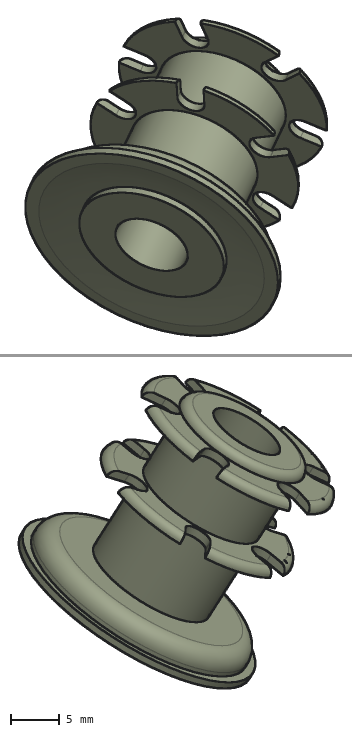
import cadquery as cq
import math

TOTAL_LENGTH = 22.82

FLANGE_RADIUS = 14.0
FLANGE_THICKNESS = 0.8
SHOULDER_RADIUS = 13.0
SHOULDER_BACK = 3.3
SHOULDER_ROUND = 2.0
TUBE_RADIUS = 7.0
BORE_RADIUS = 4.0

BOSS_RADIUS = 8.0
DISH_RADIUS = 12.5
DISH_DEPTH = 0.8
DISH_FLOOR_CURVE = 20.0

DISC_RADIUS = 11.5
DISC_THICKNESS = 1.0
COLLAR_RADIUS = 7.5
COLLAR_LENGTH = DISC_THICKNESS
COLLAR_FRONT = TOTAL_LENGTH - COLLAR_LENGTH
FRONT_DISC_FACE = 12.52
REAR_DISC_FACE = COLLAR_FRONT - DISC_THICKNESS
SLOT_COUNT = 6
SLOT_WIDTH = 3.0
SLOT_FLOOR_RADIUS = COLLAR_RADIUS
FRONT_SLOT_ANGLE = 32.4
REAR_SLOT_ANGLE = 49.9


def turn(profile):
    """Revolve a closed (radius, Y) profile fully about the Y axis."""
    return profile.revolve(360, (0, 0, 0), (0, 1, 0))


def add_round_to_back(profile, radius, back, size):
    """Continue a profile from the side at this radius through a convex quarter round to its back face."""
    mid_offset = size * math.sqrt(0.5)
    return profile.threePointArc(
        (radius - size + mid_offset, back - size + mid_offset),
        (radius - size, back),
    )


def make_dish():
    """Ring-shaped recess with a gently concave conical floor, deepest at the boss wall."""
    width = DISH_RADIUS - BOSS_RADIUS
    chord = math.hypot(width, DISH_DEPTH)
    sagitta = DISH_FLOOR_CURVE - math.sqrt(DISH_FLOOR_CURVE**2 - (chord / 2) ** 2)
    floor_middle = (
        (BOSS_RADIUS + DISH_RADIUS) / 2 + sagitta * DISH_DEPTH / chord,
        DISH_DEPTH / 2 + sagitta * width / chord,
    )
    profile = (
        cq.Workplane("XY")
        .moveTo(BOSS_RADIUS, 0)
        .lineTo(DISH_RADIUS, 0)
        .threePointArc(floor_middle, (BOSS_RADIUS, DISH_DEPTH))
        .close()
    )
    return turn(profile)


def make_core():
    """Bored tube with the dished flange at the front and the collar at the rear."""
    profile = (
        cq.Workplane("XY")
        .moveTo(BORE_RADIUS, 0)
        .lineTo(FLANGE_RADIUS, 0)
        .lineTo(FLANGE_RADIUS, FLANGE_THICKNESS)
        .lineTo(SHOULDER_RADIUS, FLANGE_THICKNESS)
        .lineTo(SHOULDER_RADIUS, SHOULDER_BACK - SHOULDER_ROUND)
    )
    profile = add_round_to_back(profile, SHOULDER_RADIUS, SHOULDER_BACK, SHOULDER_ROUND)
    profile = (
        profile.lineTo(TUBE_RADIUS, SHOULDER_BACK)
        .lineTo(TUBE_RADIUS, COLLAR_FRONT)
        .lineTo(COLLAR_RADIUS, COLLAR_FRONT)
    )
    profile = add_round_to_back(profile, COLLAR_RADIUS, TOTAL_LENGTH, COLLAR_LENGTH)
    profile = profile.lineTo(BORE_RADIUS, TOTAL_LENGTH).close()
    return turn(profile).cut(make_dish())


def make_slot(face_y, angle):
    """Cutter for one radial slot with a round inner end, open at the disc rim."""
    inner_center = SLOT_FLOOR_RADIUS + SLOT_WIDTH / 2
    slot_length = DISC_RADIUS
    round_end = cq.Workplane("XZ").center(inner_center, 0).circle(SLOT_WIDTH / 2).extrude(-DISC_THICKNESS)
    channel = (
        cq.Workplane("XZ")
        .center(inner_center + slot_length / 2, 0)
        .rect(slot_length, SLOT_WIDTH)
        .extrude(-DISC_THICKNESS)
    )
    return round_end.union(channel).rotate((0, 0, 0), (0, 1, 0), -angle).translate((0, face_y, 0))


def make_slotted_disc(face_y, first_slot_angle):
    """Disc fitted on the tube, its rim rounded through the full thickness."""
    back_y = face_y + DISC_THICKNESS
    profile = cq.Workplane("XY").moveTo(TUBE_RADIUS, face_y).lineTo(DISC_RADIUS, face_y)
    profile = add_round_to_back(profile, DISC_RADIUS, back_y, DISC_THICKNESS)
    disc = turn(profile.lineTo(TUBE_RADIUS, back_y).close())
    for index in range(SLOT_COUNT):
        disc = disc.cut(make_slot(face_y, first_slot_angle + index * 360 / SLOT_COUNT))
    return disc


core = make_core()

disc_placements = [
    (FRONT_DISC_FACE, FRONT_SLOT_ANGLE),
    (REAR_DISC_FACE, REAR_SLOT_ANGLE),
]
slotted_discs = []
for disc_face, slot_angle in disc_placements:
    slotted_discs.append(make_slotted_disc(disc_face, slot_angle).val())

result = cq.Compound.makeCompound([core.val(), *slotted_discs])